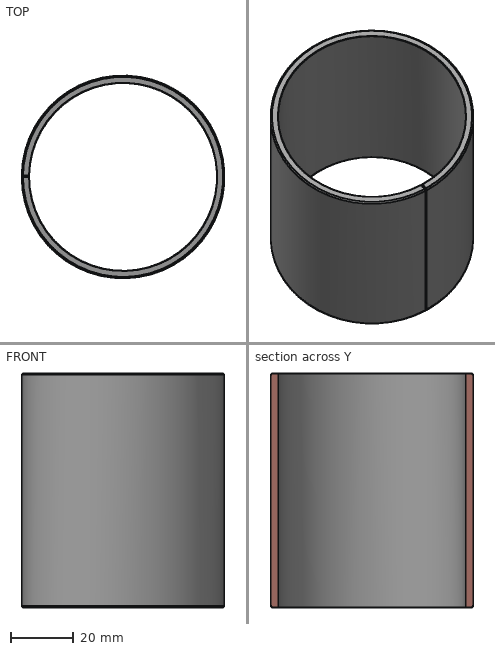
import cadquery as cq

length = 75.0
outer_diameter = 65.0
wall = 2.5
slit_width = 0.5
outer_chamfer = 0.5
inner_chamfer = 0.15

outer_radius = outer_diameter / 2
inner_radius = outer_radius - wall

section = [
    (-inner_radius, inner_chamfer),
    (-inner_radius - inner_chamfer, 0),
    (-outer_radius + outer_chamfer, 0),
    (-outer_radius, outer_chamfer),
    (-outer_radius, length - outer_chamfer),
    (-outer_radius + outer_chamfer, length),
    (-inner_radius - inner_chamfer, length),
    (-inner_radius, length - inner_chamfer),
]
sleeve = cq.Workplane("XZ").polyline(section).close().revolve(360, (0, 0), (0, 1))

slit = cq.Workplane("XY").box(outer_radius, slit_width, length, centered=False)
slit = slit.translate((-outer_radius, 0, 0))

result = sleeve.cut(slit)